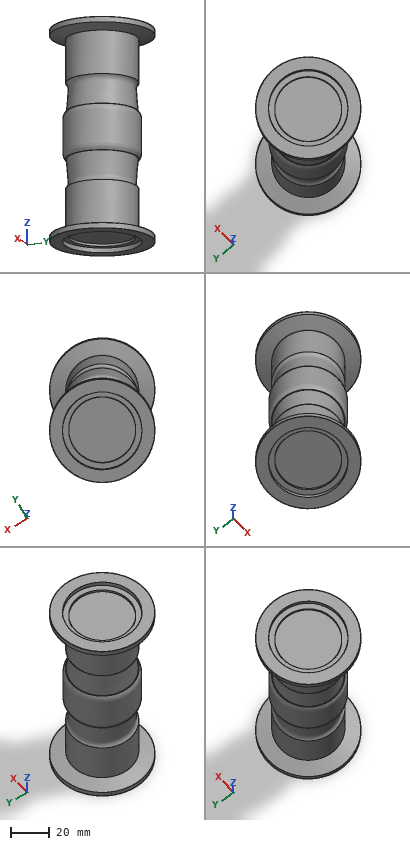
import cadquery as cq

LENGTH = 114.2
HALF_LENGTH = LENGTH / 2

FLANGE_DIAMETER = 54.8
RIM_HEIGHT = 3.0
RIM_CHAMFER = 0.1
FLANGE_HEIGHT = 5.1
CONE_BASE_DIAMETER = 39.4

TUBE_DIAMETER = 38.1
TUBE_END_DEPTH = 28.5
TUBE_CURVE_HEIGHT = 3.2

NECK_SMALL_DIAMETER = 35.5
NECK_LARGE_DIAMETER = 37.6

BAND_DIAMETER = 41.0
BAND_HEIGHT = 25.1
SHOULDER_HEIGHT = 3.4
SHOULDER_TOP_DIAMETER = 38.4

RECESS_DIAMETER = 41.2
RECESS_DEPTH = 2.5
BORE_DIAMETER = 34.8
BORE_DEPTH = 1.4

TUBE_BOTTOM = HALF_LENGTH - TUBE_END_DEPTH
NECK_TOP = TUBE_BOTTOM - TUBE_CURVE_HEIGHT
NECK_BOTTOM = BAND_HEIGHT / 2
SHOULDER_BASE = NECK_BOTTOM - SHOULDER_HEIGHT


def shoulder_arc_radius():
    """Radius of the arc that leaves the band wall vertically and meets the shoulder top."""
    inset = (BAND_DIAMETER - SHOULDER_TOP_DIAMETER) / 2
    return (SHOULDER_HEIGHT**2 + inset**2) / (2 * inset)


def end_section():
    """Shoulder, neck, tube and flange of the upper end, revolved about Z."""
    flange_radius = FLANGE_DIAMETER / 2
    tube_radius = TUBE_DIAMETER / 2
    flange_bottom = HALF_LENGTH - FLANGE_HEIGHT

    profile = (
        cq.Workplane("XZ")
        .moveTo(0, SHOULDER_BASE)
        .lineTo(BAND_DIAMETER / 2, SHOULDER_BASE)
        .radiusArc((SHOULDER_TOP_DIAMETER / 2, NECK_BOTTOM), -shoulder_arc_radius())
        .lineTo(NECK_LARGE_DIAMETER / 2, NECK_BOTTOM)
        .lineTo(NECK_SMALL_DIAMETER / 2, NECK_TOP)
        .tangentArcPoint((tube_radius, TUBE_BOTTOM), relative=False)
        .lineTo(tube_radius, flange_bottom)
        .lineTo(CONE_BASE_DIAMETER / 2, flange_bottom)
        .lineTo(flange_radius, HALF_LENGTH - RIM_HEIGHT)
        .lineTo(flange_radius, HALF_LENGTH - RIM_CHAMFER)
        .lineTo(flange_radius - RIM_CHAMFER, HALF_LENGTH)
        .lineTo(0, HALF_LENGTH)
        .close()
    )
    return profile.revolve(360, (0, 0, 0), (0, 1, 0))


def end_recess():
    """Two-step blind recess sunk into the upper end face."""
    floor_plane = cq.Workplane("XY", origin=(0, 0, HALF_LENGTH - RECESS_DEPTH))
    recess = floor_plane.circle(RECESS_DIAMETER / 2).extrude(RECESS_DEPTH)
    bore = floor_plane.circle(BORE_DIAMETER / 2).extrude(-BORE_DEPTH)
    return recess.union(bore)


def central_band():
    """Straight cylinder between the two shoulders."""
    base_plane = cq.Workplane("XY", origin=(0, 0, -SHOULDER_BASE))
    return base_plane.circle(BAND_DIAMETER / 2).extrude(2 * SHOULDER_BASE)


upper_end = end_section().cut(end_recess())
lower_end = upper_end.mirror("XY")
result = central_band().union(upper_end).union(lower_end)